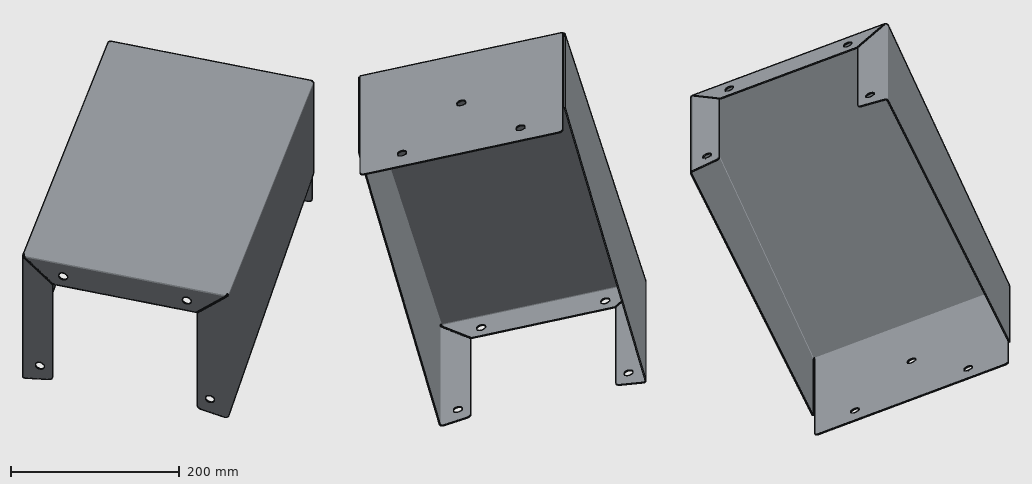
import cadquery as cq
import math

width = 254.0
length = 381.0
height = 203.0

thickness = 1.5
bend_radius = 4.0
inner_radius = bend_radius - thickness

flange_depth = 38.0
miter_gap = 1.5
flange_tip_rise = 6.5
flange_tip_radius = 5.7

side_rise = 51.0

panel_corner_radius = 5.0

corner_relief = 2.5

hole_diameter = 11.0
low_hole_height = 25.5
top_hole_spacing = 152.5
top_hole_drop = 21.7
side_hole_spacing = 209.5
back_hole_spacing = 145.5

opening_half_width = width / 2 - flange_depth
opening_top = height - flange_depth
panel_front = length - thickness


def block(x_min, x_max, y_min, y_max, z_min, z_max):
    size = (x_max - x_min, y_max - y_min, z_max - z_min)
    return cq.Workplane("XY").box(*size, centered=False).translate((x_min, y_min, z_min))


def rounded_block(inset, radius):
    """Envelope inset from the outer faces, rounded along every bend."""
    half_width = width / 2 - inset
    body = block(-half_width, half_width, inset, length - inset, 0, height - inset)
    return body.edges(">Z or (|Z and <Y)").fillet(radius)


def front_prism(points, y_start, y_end):
    """Outline in X and Z, extruded along Y."""
    outline = cq.Workplane("XZ", origin=(0, y_start, 0)).polyline(points).close()
    return outline.extrude(y_start - y_end)


def both_sides(body):
    return body.union(body.mirror("YZ"))


def make_shell():
    return rounded_block(0, bend_radius).cut(rounded_block(thickness, inner_radius))


def front_opening():
    """Opening between the flanges, with sloped and rounded flange tips."""
    opening = block(-opening_half_width, opening_half_width, 0, bend_radius, 0, opening_top)
    bend_line = width / 2 - bend_radius
    tip = front_prism(
        [(opening_half_width, 0), (bend_line, 0), (opening_half_width, flange_tip_rise)],
        0,
        bend_radius,
    )
    slope = math.atan2(flange_tip_rise, bend_line - opening_half_width)
    tangent_length = flange_tip_radius * math.tan((math.pi / 2 - slope) / 2)
    corner_x = opening_half_width
    corner_z = flange_tip_rise
    center_x = corner_x + flange_tip_radius
    center_z = corner_z + tangent_length
    arc_angle = math.pi + (math.pi / 2 - slope) / 2
    arc_middle = (
        center_x + flange_tip_radius * math.cos(arc_angle),
        center_z + flange_tip_radius * math.sin(arc_angle),
    )
    slope_end = (
        corner_x + tangent_length * math.cos(slope),
        corner_z - tangent_length * math.sin(slope),
    )
    corner = (
        cq.Workplane("XZ")
        .moveTo(corner_x, corner_z)
        .lineTo(corner_x, center_z)
        .threePointArc(arc_middle, slope_end)
        .close()
        .extrude(-bend_radius)
    )
    return opening.union(both_sides(tip.union(corner)))


def miter_slots():
    """Diagonal gaps between the top flange and the side flanges."""
    shift = miter_gap / math.sqrt(2)
    slot = front_prism(
        [
            (opening_half_width - shift, opening_top),
            (opening_half_width, opening_top - shift),
            (width / 2, height - shift),
            (width / 2 - shift, height),
        ],
        0,
        bend_radius,
    )
    return both_sides(slot)


def corner_reliefs():
    relief_start = width / 2 - corner_relief
    front = block(relief_start, width / 2, 0, corner_relief, height - corner_relief, height)
    back = block(relief_start, width / 2, length - corner_relief, length, 0, height)
    return both_sides(front.union(back))


def side_slope():
    """Wedge below the sloping lower edges of the side walls."""
    return (
        cq.Workplane("YZ")
        .polyline([(bend_radius, 0), (panel_front, 0), (panel_front, side_rise)])
        .close()
        .extrude(width / 2, both=True)
    )


def holes(centers, y_start, y_end):
    pattern = cq.Workplane("XZ", origin=(0, y_start, 0)).pushPoints(centers)
    return pattern.circle(hole_diameter / 2).extrude(y_start - y_end)


front_holes = []
back_holes = [(0, height / 2)]
for side in (-1, 1):
    front_holes.append((side * top_hole_spacing / 2, height - top_hole_drop))
    front_holes.append((side * side_hole_spacing / 2, low_hole_height))
    back_holes.append((side * back_hole_spacing / 2, low_hole_height))

folded_sheet = (
    make_shell()
    .cut(front_opening())
    .cut(miter_slots())
    .cut(corner_reliefs())
    .cut(side_slope())
)

panel_corners = cq.selectors.BoxSelector(
    (-width, panel_front - thickness, -thickness),
    (width, length + thickness, thickness),
)
rounded_sheet = folded_sheet.edges("|Y").edges(panel_corners).fillet(panel_corner_radius)

result = rounded_sheet.cut(holes(front_holes, 0, bend_radius)).cut(holes(back_holes, panel_front, length))